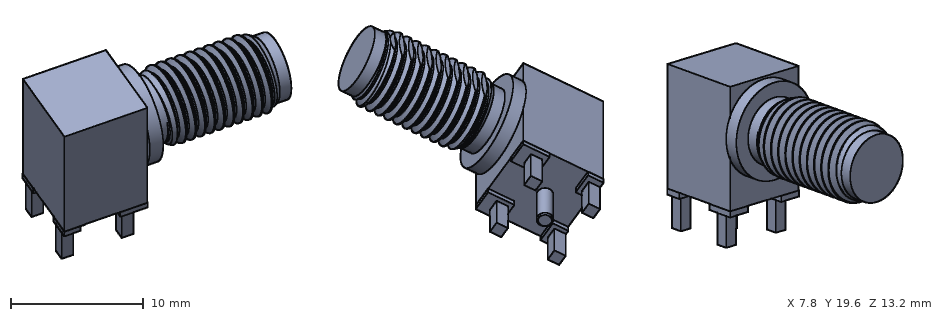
import cadquery as cq
import math


block_side = 7.0
block_height = 9.95
block_front_y = -3.03
block_back_y = block_front_y + block_side

leg_side = 1.0
leg_spacing = 5.06
leg_length = 3.28
pad_height = 0.49
pad_gap = 3.36
pad_step = 0.02

pin_diameter = 1.27
pin_chamfer = 0.12

barrel_axis_z = 5.86
flange_diameter = 7.8
flange_thickness = 1.13
core_diameter = 5.4
core_length = 11.4

thread_diameter = 6.35
thread_pitch = 0.8
thread_start = 0.98
thread_length = 9.45
thread_flat_x = -2.85
flank_angle = math.radians(30)
crest_width = thread_pitch / 8
end_cone_angle = math.radians(30)
helix_turns = math.ceil(thread_length / thread_pitch) + 1
root_overlap = 0.05
trim_margin = 0.2

core_radius = core_diameter / 2
thread_radius = thread_diameter / 2

origin = cq.Vector(0, 0, 0)
x_axis = cq.Vector(1, 0, 0)
z_axis = cq.Vector(0, 0, 1)


def make_housing():
    """Block with four corner pads, each carrying one square leg."""
    housing = (
        cq.Workplane("XY")
        .center(0, (block_front_y + block_back_y) / 2)
        .rect(block_side, block_side)
        .extrude(block_height)
    )
    for y_side, block_edge_y in ((-1, block_front_y), (1, block_back_y)):
        for x_side in (-1, 1):
            pad_inner_corner = cq.Vector(x_side * pad_gap / 2, y_side * pad_gap / 2)
            pad_outer_corner = cq.Vector(
                x_side * (block_side / 2 + pad_step), block_edge_y + y_side * pad_step
            )
            pad_size = pad_outer_corner - pad_inner_corner
            pad_middle = (pad_inner_corner + pad_outer_corner) * 0.5
            pad = (
                cq.Workplane("XY")
                .center(pad_middle.x, pad_middle.y)
                .rect(abs(pad_size.x), abs(pad_size.y))
                .extrude(-pad_height)
            )
            leg = (
                cq.Workplane("XY")
                .center(x_side * leg_spacing / 2, y_side * leg_spacing / 2)
                .rect(leg_side, leg_side)
                .extrude(-leg_length)
            )
            housing = housing.union(pad).union(leg)
    return housing.solids().val()


def make_solder_pin():
    """Round pin standing below the block, with a chamfered tip."""
    pin = cq.Workplane("XY").circle(pin_diameter / 2).extrude(-leg_length)
    return pin.faces("<Z").chamfer(pin_chamfer).solids().val()


def make_thread_ridge():
    """Helical ridge of trapezoid section around Z, bounded by ruled faces and two flat ends."""
    root_radius = core_radius - root_overlap
    crest_half = crest_width / 2
    root_half = crest_half + (thread_radius - root_radius) * math.tan(flank_angle)
    section = [
        (root_radius, -root_half),
        (thread_radius, -crest_half),
        (thread_radius, crest_half),
        (root_radius, root_half),
    ]
    helix_height = thread_pitch * helix_turns
    edges = [
        cq.Wire.makeHelix(thread_pitch, helix_height, radius).translate(cq.Vector(0, 0, z))
        for radius, z in section
    ]
    faces = []
    for edge, next_edge in zip(edges, edges[1:] + edges[:1]):
        faces.extend(cq.Face.makeRuledSurface(edge, next_edge).Faces())
    for end_z in (0, helix_height):
        corners = [cq.Vector(radius, 0, z + end_z) for radius, z in section]
        faces.append(cq.Face.makeFromWires(cq.Wire.makePolygon(corners, close=True)))
    ridge = cq.Solid.makeSolid(cq.Shell.makeShell(faces)).fix()
    start_z = (thread_length - helix_height) / 2
    return ridge.rotate(origin, z_axis, -90).translate(cq.Vector(0, 0, start_z))


def make_thread_envelope():
    """Double cone that tapers both thread ends down to the core, with the -X flat cut off."""
    slope = math.tan(end_cone_angle)
    outer_radius = thread_radius + trim_margin
    cone_length = (outer_radius - core_radius) / slope
    end_radius = core_radius - trim_margin * slope
    envelope = (
        cq.Workplane("XZ")
        .moveTo(0, -trim_margin)
        .lineTo(end_radius, -trim_margin)
        .lineTo(outer_radius, cone_length)
        .lineTo(outer_radius, thread_length - cone_length)
        .lineTo(end_radius, thread_length + trim_margin)
        .lineTo(0, thread_length + trim_margin)
        .close()
        .revolve(360, (0, 0, 0), (0, 1, 0))
    )
    beyond_flat = (
        cq.Workplane("YZ", origin=(thread_flat_x, 0, 0))
        .center(0, thread_length / 2)
        .rect(2 * outer_radius, thread_length + 2 * trim_margin)
        .extrude(-outer_radius)
    )
    return envelope.cut(beyond_flat).val()


def make_barrel():
    """Flange and round core with a right-hand thread, built along Z and laid along +Y."""
    thread = make_thread_ridge().intersect(make_thread_envelope())
    thread = thread.translate(cq.Vector(0, 0, thread_start))
    core = cq.Solid.makeCylinder(core_radius, core_length)
    flange = cq.Solid.makeCylinder(flange_diameter / 2, flange_thickness, dir=cq.Vector(0, 0, -1))
    barrel = core.fuse(flange).fuse(thread).Solids()[0]
    flange_face = cq.Vector(0, block_back_y + flange_thickness, barrel_axis_z)
    return barrel.rotate(origin, x_axis, -90).translate(flange_face)


housing = make_housing()
solder_pin = make_solder_pin()
barrel = make_barrel()

result = cq.Compound.makeCompound([housing, solder_pin, barrel])